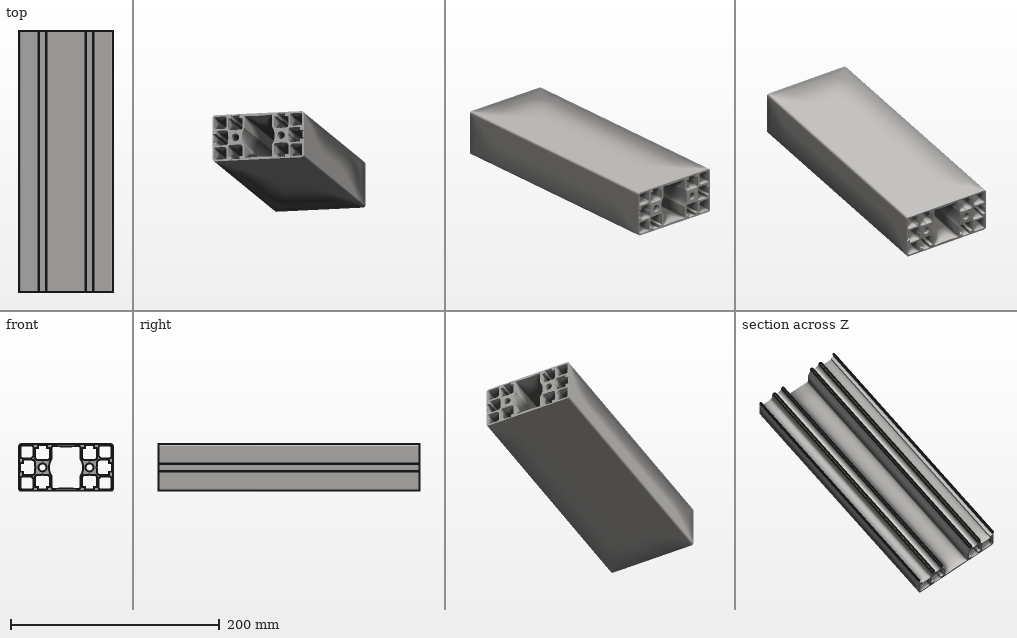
import cadquery as cq
import math

WIDTH = 90.0
HEIGHT = 45.0
LENGTH = 250.0
CORNER_RADIUS = 2.5

CORE_X = WIDTH / 4
CORE_HOLE_DIAMETER = 7.4

WALL = 1.7
CHAMBER_SIZE = 11.9
CHAMBER_RADIUS = 1.4
CHAMBER_INNER_CHAMFER = 1.8

SLOT_OPENING = 8.2
SLOT_INNER_WIDTH = 14.3
SLOT_LIP = 3.9
SLOT_DEPTH = 15.2
SLOT_FLOOR_RADIUS = 2.5
NOTCH_WIDTH = 2.4
NOTCH_DEPTH = 0.6

COVER_PAD_WIDTH = 6.2
COVER_PAD_DEPTH = 1.4
COVER_EDGE_DEPTH = 0.5

CENTRE_WIDTH = 27.15
CENTRE_CORNER_RADIUS = 1.2
CENTRE_BULGE_RADIUS = 16.2
CENTRE_EDGE_WALL = 1.8
CENTRE_CROWN_WALL = 2.6


def profile_plane():
    """XZ sketch plane on the back end; extruding runs along -Y."""
    return cq.Workplane("XZ", origin=(0, LENGTH / 2, 0))


def block(width, height, x, z, radius=0.0):
    """Full-length bar centred on (x, z), optionally with rounded long edges."""
    bar = profile_plane().center(x, z).rect(width, height).extrude(LENGTH)
    if radius > 0:
        bar = bar.edges("|Y").fillet(radius)
    return bar


def half_slot_outline():
    """Right half of a T-slot whose mouth faces +Z with the outer face at z = 0 and its middle at x = 0."""
    half_inner = SLOT_INNER_WIDTH / 2
    half_mouth = SLOT_OPENING / 2
    half_pad = COVER_PAD_WIDTH / 2
    floor_flat_end = half_inner - SLOT_FLOOR_RADIUS
    floor_wall_end = -SLOT_DEPTH + SLOT_FLOOR_RADIUS
    floor_arc_reach = SLOT_FLOOR_RADIUS * math.sqrt(0.5)
    floor_arc_middle = (floor_flat_end + floor_arc_reach, floor_wall_end - floor_arc_reach)
    return (
        profile_plane()
        .moveTo(0, -COVER_PAD_DEPTH)
        .lineTo(half_pad, -COVER_PAD_DEPTH)
        .lineTo(half_pad, -COVER_EDGE_DEPTH)
        .lineTo(half_mouth, -COVER_EDGE_DEPTH)
        .lineTo(half_mouth, -SLOT_LIP)
        .lineTo(half_inner, -SLOT_LIP)
        .lineTo(half_inner, floor_wall_end)
        .threePointArc(floor_arc_middle, (floor_flat_end, -SLOT_DEPTH))
        .lineTo(NOTCH_WIDTH / 2, -SLOT_DEPTH)
        .lineTo(0, -SLOT_DEPTH - NOTCH_DEPTH)
        .close()
    )


def slot_void():
    """Complete T-slot void, the half outline mirrored about its middle."""
    half = half_slot_outline().extrude(LENGTH)
    return half.union(half.mirror("YZ"))


def centre_void():
    """Central chamber: crowned floor and roof, rounded corners, sides bulged towards the cores."""
    half_width = CENTRE_WIDTH / 2
    edge_z = HEIGHT / 2 - CENTRE_EDGE_WALL
    crown_z = HEIGHT / 2 - CENTRE_CROWN_WALL
    void = (
        profile_plane()
        .moveTo(-half_width, -edge_z)
        .threePointArc((0, -crown_z), (half_width, -edge_z))
        .lineTo(half_width, edge_z)
        .threePointArc((0, crown_z), (-half_width, edge_z))
        .close()
        .extrude(LENGTH)
        .edges("|Y")
        .fillet(CENTRE_CORNER_RADIUS)
    )
    return void.union(profile_plane().circle(CENTRE_BULGE_RADIUS).extrude(LENGTH))


def corner_chamber():
    """Chamber of the +X +Z corner; its edge nearest the screw core is chamfered, the others rounded."""
    x = WIDTH / 2 - WALL - CHAMBER_SIZE / 2
    z = HEIGHT / 2 - WALL - CHAMBER_SIZE / 2
    inner_x = x - CHAMBER_SIZE / 2
    inner_z = z - CHAMBER_SIZE / 2
    inner_edge = cq.NearestToPointSelector((inner_x, 0, inner_z))
    chamber = block(CHAMBER_SIZE, CHAMBER_SIZE, x, z)
    other_edges = cq.selectors.ParallelDirSelector(cq.Vector(0, 1, 0)) - inner_edge
    chamber = chamber.edges(other_edges).fillet(CHAMBER_RADIUS)
    return chamber.edges(inner_edge).chamfer(CHAMBER_INNER_CHAMFER)


def cut_corner_chambers(body):
    upper_right = corner_chamber()
    upper_pair = upper_right.union(upper_right.mirror("YZ"))
    return body.cut(upper_pair).cut(upper_pair.mirror("XY"))


def cut_slots(body):
    """Two slots on the top, two on the bottom and one on each narrow side."""
    axis_start = (0, 0, 0)
    axis_end = (0, 1, 0)
    upright = slot_void().translate((0, 0, HEIGHT / 2))
    for core_x, side_angle in ((-CORE_X, -90), (CORE_X, 90)):
        for angle in (0, 180, side_angle):
            void = upright.rotate(axis_start, axis_end, angle)
            body = body.cut(void.translate((core_x, 0, 0)))
    return body


def cut_core_holes(body):
    holes = (
        profile_plane()
        .pushPoints([(-CORE_X, 0), (CORE_X, 0)])
        .circle(CORE_HOLE_DIAMETER / 2)
        .extrude(LENGTH)
    )
    return body.cut(holes)


profile = block(WIDTH, HEIGHT, 0, 0, CORNER_RADIUS)
profile = cut_corner_chambers(profile)
profile = cut_slots(profile)
profile = cut_core_holes(profile)
result = profile.cut(centre_void())